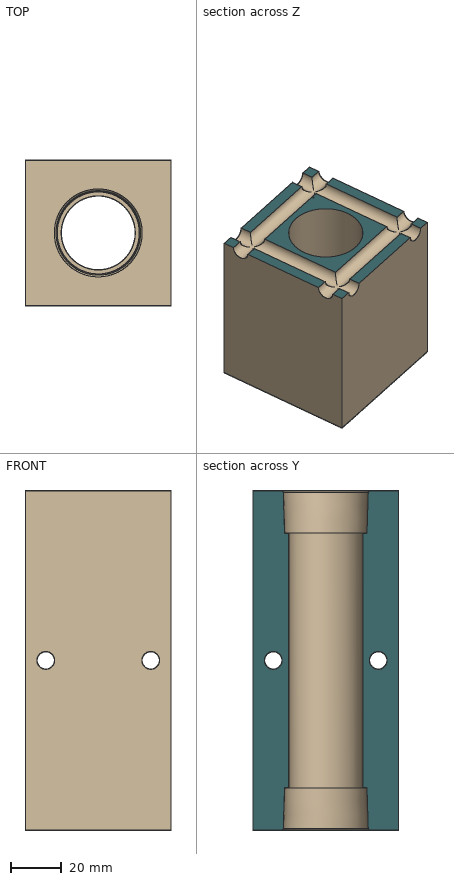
import cadquery as cq

width = 57.2
height = 133.4

bore_diameter = 29.0
seat_diameter = 33.2
seat_depth = 16.7
seat_taper = 1 / 16
rim_chamfer = 0.7

hole_diameter = 6.8
hole_spacing = 41.2

block = cq.Workplane("XY").box(width, width, height)


def end_seat(direction):
    """Cutter for the seat and its rim chamfer; direction is 1 for the top end, -1 for the bottom."""
    radius = seat_diameter / 2
    mouth = height / 2
    floor = mouth - seat_depth
    floor_radius = radius - seat_taper * (seat_depth - rim_chamfer) / 2
    profile = [
        (0, direction * floor),
        (floor_radius, direction * floor),
        (radius, direction * (mouth - rim_chamfer)),
        (radius + rim_chamfer, direction * mouth),
        (0, direction * mouth),
    ]
    return cq.Workplane("XZ").polyline(profile).close().revolve(360, (0, 0), (0, 1))


def cross_holes(plane):
    """Pair of through-hole cutters, normal to the given plane, on either side of the bore."""
    return (
        cq.Workplane(plane)
        .pushPoints([(-hole_spacing / 2, 0), (hole_spacing / 2, 0)])
        .circle(hole_diameter / 2)
        .extrude(width / 2, both=True)
    )


bore = cq.Workplane("XY").circle(bore_diameter / 2).extrude(height / 2, both=True)
result = block.cut(bore)

for end in (1, -1):
    result = result.cut(end_seat(end))

for plane in ("XZ", "YZ"):
    result = result.cut(cross_holes(plane))